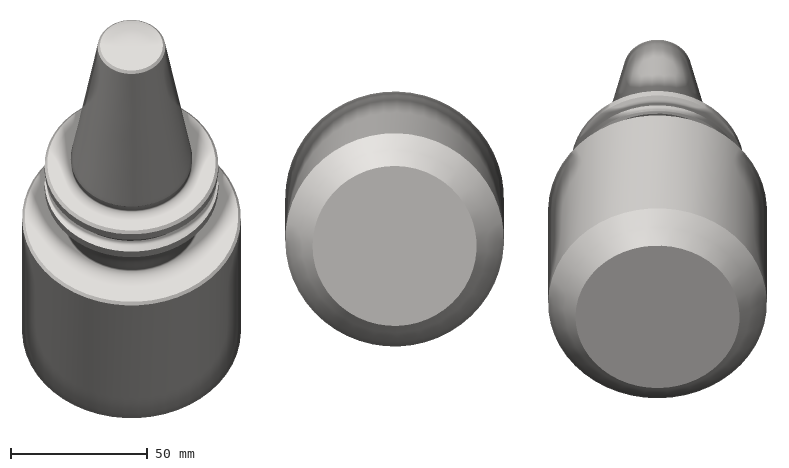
import cadquery as cq
import math

TAPER_LENGTH = 68.4
BODY_END_DEPTH = 115.0

GAUGE_RADIUS = 44.45 / 2
TAPER_RATIO = 7 / 24
SHANK_END_CHAMFER = 0.9
RELIEF_RADIUS = 21.9
RELIEF_CHAMFER = 0.5
RELIEF_FILLET = 0.5

FLANGE_RADIUS = 63.55 / 2
FLANGE_TOP_DEPTH = 3.2
FLANGE_BOTTOM_DEPTH = 19.1
FLANGE_CHAMFER = 1.0
GROOVE_DEPTH_BELOW_GAUGE = 11.1
GROOVE_FLOOR_RADIUS = 56.25 / 2
GROOVE_FLOOR_WIDTH = 3.8
GROOVE_MOUTH_WIDTH = 7.2

NECK_RADIUS = 24.75
NECK_TOP_FILLET = 1.0
NECK_BASE_FILLET = 0.6

BODY_RADIUS = 40.0
BODY_TOP_DEPTH = 35.55
BODY_TOP_CHAMFER = 0.95
NOSE_RADIUS = 30.0
NOSE_LENGTH = 10.0


def shank_points():
    """Profile from the small end of the taper down to the flange."""
    slope = TAPER_RATIO / 2
    chamfer_z = TAPER_LENGTH - SHANK_END_CHAMFER
    chamfer_radius = GAUGE_RADIUS - slope * chamfer_z
    return [
        (0, TAPER_LENGTH),
        (chamfer_radius - SHANK_END_CHAMFER, TAPER_LENGTH),
        (chamfer_radius, chamfer_z),
        (GAUGE_RADIUS, 0),
        (RELIEF_RADIUS, -RELIEF_CHAMFER),
        (RELIEF_RADIUS, -FLANGE_TOP_DEPTH),
    ]


def flange_points():
    """Profile of the chamfered flange and its V-groove."""
    rim_radius = FLANGE_RADIUS - FLANGE_CHAMFER
    groove_z = -GROOVE_DEPTH_BELOW_GAUGE
    return [
        (rim_radius, -FLANGE_TOP_DEPTH),
        (FLANGE_RADIUS, -FLANGE_TOP_DEPTH - FLANGE_CHAMFER),
        (FLANGE_RADIUS, groove_z + GROOVE_MOUTH_WIDTH / 2),
        (GROOVE_FLOOR_RADIUS, groove_z + GROOVE_FLOOR_WIDTH / 2),
        (GROOVE_FLOOR_RADIUS, groove_z - GROOVE_FLOOR_WIDTH / 2),
        (FLANGE_RADIUS, groove_z - GROOVE_MOUTH_WIDTH / 2),
        (FLANGE_RADIUS, -FLANGE_BOTTOM_DEPTH + FLANGE_CHAMFER),
        (rim_radius, -FLANGE_BOTTOM_DEPTH),
    ]


def neck_points():
    """Profile of the straight neck."""
    return [
        (NECK_RADIUS, -FLANGE_BOTTOM_DEPTH),
        (NECK_RADIUS, -BODY_TOP_DEPTH),
    ]


def body_points():
    """Profile of the body, its chamfered shoulder and its conical nose."""
    return [
        (BODY_RADIUS - BODY_TOP_CHAMFER, -BODY_TOP_DEPTH),
        (BODY_RADIUS, -BODY_TOP_DEPTH - BODY_TOP_CHAMFER),
        (BODY_RADIUS, -BODY_END_DEPTH + NOSE_LENGTH),
        (NOSE_RADIUS, -BODY_END_DEPTH),
        (0, -BODY_END_DEPTH),
    ]


def fillet_ring(radius, corner_z, side, fillet):
    """Concave ring blending a cylinder into a flat face; side is +1 above the face, -1 below it."""
    tangent_z = corner_z + side * fillet
    outer_radius = radius + fillet
    arc_offset = fillet * (1 - math.sqrt(0.5))
    return (
        cq.Workplane("XZ")
        .moveTo(radius, tangent_z)
        .threePointArc((radius + arc_offset, corner_z + side * arc_offset), (outer_radius, corner_z))
        .lineTo(0, corner_z)
        .lineTo(0, tangent_z)
        .close()
        .revolve(360, (0, 0), (0, 1))
    )


profile = shank_points() + flange_points() + neck_points() + body_points()
result = cq.Workplane("XZ").polyline(profile).close().revolve(360, (0, 0), (0, 1))
result = result.union(fillet_ring(RELIEF_RADIUS, -FLANGE_TOP_DEPTH, 1, RELIEF_FILLET))
result = result.union(fillet_ring(NECK_RADIUS, -FLANGE_BOTTOM_DEPTH, -1, NECK_TOP_FILLET))
result = result.union(fillet_ring(NECK_RADIUS, -BODY_TOP_DEPTH, 1, NECK_BASE_FILLET))